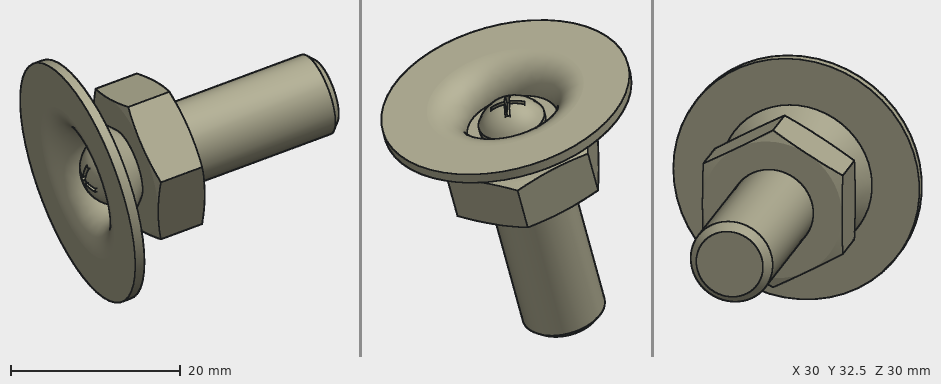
import cadquery as cq
import math

flange_diameter = 30.0
flange_thickness = 1.25
hub_base_radius = 9.23
hub_top_radius = 4.78
hub_height = 6.0

recess_floor_radius = 5.5
flare_radius = 4.0
recess_depth = flare_radius

dome_radius = 4.0
dome_height = 2.5
stub_height = 0.68
slot_length = 4.1
slot_width = 0.6
slot_floor_y = 2.28

nut_start_y = 6.35
nut_end_y = 12.5
nut_across_flats = 17.0
nut_chamfer_angle = 15
nut_face_radius = nut_across_flats / 2

shank_diameter = 10.0
total_length = 32.5
end_chamfer = 0.95

hub_neck_radius = hub_top_radius - (nut_start_y - hub_height)


def revolve_about_y(profile):
    """Turn a closed X-Y profile about the Y axis."""
    return profile.close().revolve(360, (0, 0, 0), (0, 1, 0))


def disc(radius, start_y, end_y):
    """Solid cylinder along the Y axis."""
    plane = cq.Workplane("XZ", origin=(0, start_y, 0))
    return plane.circle(radius).extrude(start_y - end_y)


def make_flange():
    hub = revolve_about_y(
        cq.Workplane("XY")
        .moveTo(0, 0)
        .lineTo(flange_diameter / 2, 0)
        .lineTo(flange_diameter / 2, flange_thickness)
        .lineTo(hub_base_radius, flange_thickness)
        .lineTo(hub_top_radius, hub_height)
        .lineTo(hub_neck_radius, nut_start_y)
        .lineTo(0, nut_start_y)
    )
    diagonal = flare_radius * (1 - math.sqrt(0.5))
    recess = revolve_about_y(
        cq.Workplane("XY")
        .moveTo(0, 0)
        .lineTo(recess_floor_radius + flare_radius, 0)
        .threePointArc(
            (recess_floor_radius + diagonal, diagonal),
            (recess_floor_radius, recess_depth),
        )
        .lineTo(0, recess_depth)
    )
    return hub.cut(recess)


def make_dome():
    sphere_radius = (dome_radius**2 + dome_height**2) / (2 * dome_height)
    stub_front_y = recess_depth - stub_height
    apex_y = stub_front_y - dome_height
    half_angle = math.asin(dome_radius / sphere_radius) / 2
    arc_middle = (
        sphere_radius * math.sin(half_angle),
        apex_y + sphere_radius * (1 - math.cos(half_angle)),
    )
    dome = revolve_about_y(
        cq.Workplane("XY")
        .moveTo(0, apex_y)
        .threePointArc(arc_middle, (dome_radius, stub_front_y))
        .lineTo(dome_radius, recess_depth)
        .lineTo(0, recess_depth)
    )
    for length_x, length_z in ((slot_length, slot_width), (slot_width, slot_length)):
        slot = cq.Workplane("XZ").rect(length_x, length_z).extrude(-slot_floor_y)
        dome = dome.cut(slot)
    return dome


def make_nut():
    corner_diameter = nut_across_flats / math.cos(math.radians(30))
    nut_height = nut_end_y - nut_start_y
    hexagon = (
        cq.Workplane("XZ", origin=(0, nut_start_y, 0))
        .transformed(rotate=(0, 0, 90))
        .polygon(6, corner_diameter)
        .extrude(-nut_height)
    )
    corner_radius = corner_diameter / 2
    drop = (corner_radius - nut_face_radius) * math.tan(math.radians(nut_chamfer_angle))
    envelope = revolve_about_y(
        cq.Workplane("XY")
        .moveTo(0, nut_start_y)
        .lineTo(nut_face_radius, nut_start_y)
        .lineTo(corner_radius, nut_start_y + drop)
        .lineTo(corner_radius, nut_end_y - drop)
        .lineTo(nut_face_radius, nut_end_y)
        .lineTo(0, nut_end_y)
    )
    return hexagon.intersect(envelope)


def make_shank():
    shank = disc(shank_diameter / 2, nut_end_y, total_length)
    return shank.faces(">Y").chamfer(end_chamfer)


result = make_flange().union(make_dome()).union(make_nut()).union(make_shank())